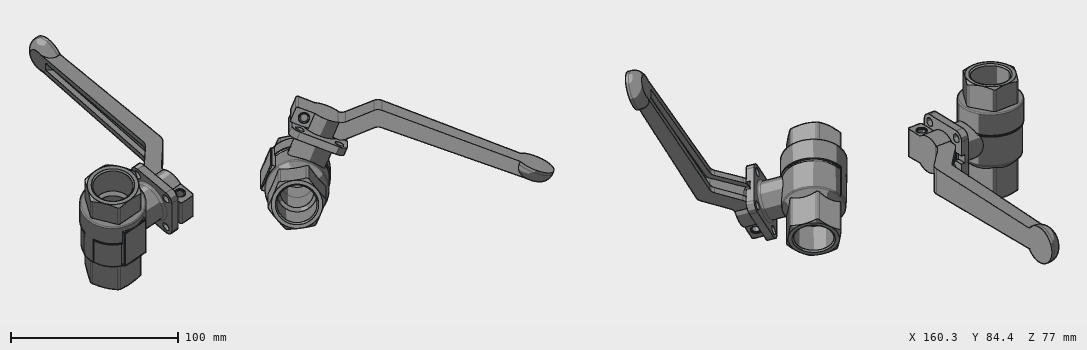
import cadquery as cq
import math


half_length = 38.5
hex_across_flats = 31.0
hex_sides = 6
hex_half_angle = 180 / hex_sides
hex_corner_rounding = 2.1
hex_end_radius = 15.4
hex_chamfer_angle = 30.0
body_radius = 19.2
body_bottom_z = -14.1
skirt_round = 1.3
lip_z = 6.7
collar_radius = 40.0 / 2
collar_bottom_z = 7.7
collar_top_z = 22.5
collar_round = 0.8
gap_radius = 18.8
skirt_end_radius = 14.5

bore_radius = 20.0 / 2
port_radius = 24.0 / 2
port_depth = 19.2
port_chamfer = 1.0

strap_width = 7.9
plate_width = 17.2
plate_face_x = 19.5
panel_height = 0.8
panel_margin = 0.5
plate_bottom_z = -12.2
plate_top_z = 18.1

neck_radius = 24.0 / 2
neck_fillet = 1.6
flange_half_width = 18.0
flange_corner_radius = 5.3
flange_back_y = 31.3
flange_face_y = 36.4
bolt_pitch = 25.5
bolt_hole_diameter = 5.5
notch_width = 5.6
notch_height = 2.5
notch_depth = flange_half_width - neck_radius

overall_depth = 84.4
lever_top_y = overall_depth - collar_radius
knob_x = -128.0
hub_radius = 24.0 / 2
hub_bottom_y = 35.5
clamp_height = 10.5
clamp_bottom_y = 37.4
clamp_top_y = clamp_bottom_y + clamp_height
clamp_end_x = 19.5
clamp_corner_radius = 1.3
taper_angle = 1.0
taper = math.tan(math.radians(taper_angle))
half_width_at_stem = 9.1
crank_angle = 45.0
crank_slope = math.tan(math.radians(crank_angle))
crank_top_x = -26.3
crank_under_x = -30.5
crank_under_y = 53.9
crank_outer_radius = 6.4
crank_inner_radius = 5.6
crank_foot_radius = 6.4

groove_wall = 4.0
groove_depth = 3.5
groove_start_x = -121.5
groove_ramp_length = 3.5

knob_radius = 12.0
knob_rim_height = 2.0
knob_round = 7.4

screw_x = 12.7
screw_y = clamp_bottom_y + clamp_height / 2
screw_hole_diameter = 5.0
screw_recess_diameter = 6.7
screw_recess_depth = 0.8


def box(x_range, y_range, z_range):
    """Block between the two ends of each range."""
    size = [high - low for low, high in (x_range, y_range, z_range)]
    start = (x_range[0], y_range[0], z_range[0])
    return cq.Workplane("XY").box(*size, centered=False).translate(start)


def hub_solid():
    """Lever hub around the stem axis; it also shapes the recess in the flange."""
    return (
        cq.Workplane("XZ", origin=(0, hub_bottom_y, 0))
        .circle(hub_radius)
        .extrude(hub_bottom_y - clamp_top_y)
    )


def hexagon_bar():
    """Hexagon over the full length, corners on Y, both ends chamfered conically."""
    corner_radius = hex_across_flats / 2 / math.cos(math.radians(hex_half_angle))
    bar = (
        cq.Workplane("XY", origin=(0, 0, -half_length))
        .polygon(hex_sides, 2 * corner_radius)
        .extrude(2 * half_length)
        .rotate((0, 0, 0), (0, 0, 1), hex_half_angle)
        .edges("|Z")
        .fillet(hex_corner_rounding)
    )
    drop = (corner_radius - hex_end_radius) * math.tan(math.radians(hex_chamfer_angle))
    end_cones = (
        cq.Workplane("XZ")
        .moveTo(0, -half_length)
        .lineTo(hex_end_radius, -half_length)
        .lineTo(corner_radius, drop - half_length)
        .lineTo(corner_radius, half_length - drop)
        .lineTo(hex_end_radius, half_length)
        .lineTo(0, half_length)
        .close()
        .revolve(360, (0, 0), (0, 1))
    )
    return bar.intersect(end_cones)


def chamber_blank(radius, top_z):
    """Round drum whose lower edge runs through a rounded corner into the 45 degree skirt."""
    bottom_z = body_bottom_z + radius - body_radius
    skirt_end_z = bottom_z - (radius - skirt_end_radius)
    return (
        cq.Workplane("XZ")
        .moveTo(0, skirt_end_z)
        .lineTo(skirt_end_radius, skirt_end_z)
        .lineTo(radius, bottom_z)
        .lineTo(radius, top_z)
        .lineTo(0, top_z)
        .close()
        .revolve(360, (0, 0), (0, 1))
        .edges("%CIRCLE")
        .edges(cq.NearestToPointSelector((0, 0, bottom_z)))
        .fillet(skirt_round)
    )


def round_body():
    """Ball chamber with its lip, the groove above the lip, and the collar."""
    lip_overhang = collar_radius - body_radius
    lip_and_collar = (
        cq.Workplane("XZ")
        .lineTo(body_radius, 0)
        .lineTo(body_radius, lip_z - lip_overhang)
        .radiusArc((collar_radius, lip_z), lip_overhang)
        .lineTo(gap_radius, lip_z)
        .lineTo(gap_radius, collar_bottom_z)
        .lineTo(collar_radius, collar_bottom_z)
        .lineTo(collar_radius, collar_top_z)
        .lineTo(0, collar_top_z)
        .close()
        .revolve(360, (0, 0), (0, 1))
        .faces(">Z")
        .edges()
        .fillet(collar_round)
    )
    return chamber_blank(body_radius, 0).union(lip_and_collar)


def strap():
    """Raised strap on the -Y side, level with the collar."""
    half_width = strap_width / 2
    strip = box((-half_width, half_width), (-collar_radius, 0), (-half_length, half_length))
    return chamber_blank(collar_radius, collar_bottom_z).intersect(strip)


def side_plate():
    """Plate on the +X side with a raised panel on its face."""
    half_width = plate_width / 2
    plate = box((0, plate_face_x), (-half_width, half_width), (plate_bottom_z, plate_top_z))
    panel = box(
        (0, plate_face_x + panel_height),
        (panel_margin - half_width, half_width - panel_margin),
        (plate_bottom_z + panel_margin, plate_top_z - panel_margin),
    )
    return plate.union(panel)


def neck_and_flange():
    """Round neck with a square flange, four bolt holes and a notch in the -X edge."""
    flange = (
        cq.Workplane("XZ", origin=(0, flange_back_y, 0))
        .rect(2 * flange_half_width, 2 * flange_half_width)
        .extrude(flange_back_y - flange_face_y)
        .edges("|Y")
        .fillet(flange_corner_radius)
    )
    holes = (
        cq.Workplane("XZ", origin=(0, flange_back_y, 0))
        .rect(bolt_pitch, bolt_pitch, forConstruction=True)
        .vertices()
        .circle(bolt_hole_diameter / 2)
        .extrude(flange_back_y - flange_face_y)
    )
    notch = box(
        (-flange_half_width, -flange_half_width + notch_depth),
        (flange_face_y - notch_height, flange_face_y),
        (-notch_width / 2, notch_width / 2),
    )
    fillet_start_y = flange_back_y - neck_fillet
    neck = (
        cq.Workplane("XY")
        .lineTo(neck_radius, 0)
        .lineTo(neck_radius, fillet_start_y)
        .radiusArc((neck_radius + neck_fillet, flange_back_y), neck_fillet)
        .lineTo(0, flange_back_y)
        .close()
        .revolve(360, (0, 0), (0, 1))
    )
    return flange.cut(holes).cut(notch).union(neck)


def pipe_bore():
    """Through bore with a wider, chamfered port at each end, joined by a cone."""
    port_floor = half_length - port_depth
    mouth_radius = port_radius + port_chamfer
    half_bore = (
        cq.Workplane("XZ")
        .lineTo(bore_radius, 0)
        .lineTo(bore_radius, port_floor - (port_radius - bore_radius))
        .lineTo(port_radius, port_floor)
        .lineTo(port_radius, half_length - port_chamfer)
        .lineTo(mouth_radius, half_length)
        .lineTo(0, half_length)
        .close()
        .revolve(360, (0, 0), (0, 1))
    )
    return half_bore.union(half_bore.mirror("XY"))


def make_valve_body():
    solid = hexagon_bar().union(round_body()).union(strap()).union(side_plate())
    solid = solid.union(neck_and_flange()).cut(hub_solid())
    return solid.cut(pipe_bore())


def underside_y(x):
    """Height of the sloping grip underside."""
    return crank_under_y - taper * (x - crank_under_x)


def side_half_width(x):
    """Half width of the tapered lever."""
    return half_width_at_stem + taper * x


def tapered_plan(start_x, end_x, inset):
    """Prism along Y over the lever's plan, with its sides moved inwards by inset."""
    start_width = side_half_width(start_x) - inset
    end_width = side_half_width(end_x) - inset
    corners = [(start_x, -start_width), (end_x, -end_width), (end_x, end_width), (start_x, start_width)]
    return cq.Workplane("XZ").polyline(corners).close().extrude(-lever_top_y)


def round_crank_edge(bar, x, y, radius):
    """Round the bar edge that runs along Z through the point (x, y)."""
    return bar.edges(cq.NearestToPointSelector((x, y, 0))).fillet(radius)


def lever_bar():
    """Grip, crank and clamp in one tapered bar."""
    crank_top_end_x = crank_top_x + (lever_top_y - clamp_top_y) / crank_slope
    crank_foot_x = crank_under_x + (crank_under_y - clamp_bottom_y) / crank_slope
    outline = [
        (knob_x, lever_top_y),
        (crank_top_x, lever_top_y),
        (crank_top_end_x, clamp_top_y),
        (clamp_end_x, clamp_top_y),
        (clamp_end_x, clamp_bottom_y),
        (crank_foot_x, clamp_bottom_y),
        (crank_under_x, crank_under_y),
        (knob_x, underside_y(knob_x)),
    ]
    width = 2 * side_half_width(clamp_end_x)
    bar = cq.Workplane("XY", origin=(0, 0, -width / 2)).polyline(outline).close().extrude(width)
    bar = round_crank_edge(bar, crank_top_x, lever_top_y, crank_outer_radius)
    bar = round_crank_edge(bar, crank_top_end_x, clamp_top_y, crank_inner_radius)
    bar = round_crank_edge(bar, crank_foot_x, clamp_bottom_y, crank_foot_radius)
    bar = round_crank_edge(bar, crank_under_x, crank_under_y, crank_inner_radius)
    bar = bar.edges("|Z and >X").fillet(clamp_corner_radius)
    return bar.intersect(tapered_plan(knob_x, clamp_end_x, 0))


def underside_groove():
    """Groove that follows the grip and the crank and ends at the hub."""
    bend_angle = crank_angle - taper_angle
    bend_shift = groove_depth * math.tan(math.radians(bend_angle / 2))
    floor_bend_x = crank_under_x + bend_shift
    floor_bend_y = underside_y(floor_bend_x) + groove_depth
    ramp_end_x = groove_start_x + groove_ramp_length
    outline = [
        (groove_start_x, underside_y(groove_start_x)),
        (ramp_end_x, underside_y(ramp_end_x) + groove_depth),
        (floor_bend_x, floor_bend_y),
        (0, floor_bend_y + floor_bend_x * crank_slope),
        (0, 0),
        (groove_start_x, 0),
    ]
    width = 2 * side_half_width(0)
    groove = cq.Workplane("XY", origin=(0, 0, -width / 2)).polyline(outline).close().extrude(width)
    groove = round_crank_edge(groove, floor_bend_x, floor_bend_y, crank_inner_radius)
    return groove.intersect(tapered_plan(groove_start_x, 0, groove_wall))


def knob():
    """Half-round knob, cut level with the grip underside."""
    rim_y = lever_top_y - knob_rim_height
    bottom_y = rim_y - knob_round
    button = (
        cq.Workplane("XY", origin=(knob_x, 0, 0))
        .moveTo(0, lever_top_y)
        .lineTo(knob_radius, lever_top_y)
        .lineTo(knob_radius, rim_y)
        .radiusArc((knob_radius - knob_round, bottom_y), knob_round)
        .lineTo(0, bottom_y)
        .close()
        .revolve(360, (0, 0), (0, 1))
    )
    left_x = knob_x - knob_radius
    right_x = knob_x + knob_radius
    above_underside = (
        cq.Workplane("XY", origin=(0, 0, -knob_radius))
        .moveTo(left_x, lever_top_y)
        .lineTo(right_x, lever_top_y)
        .lineTo(right_x, underside_y(right_x))
        .lineTo(left_x, underside_y(left_x))
        .close()
        .extrude(2 * knob_radius)
    )
    return button.intersect(above_underside)


def clamp_screw_hole():
    """Through hole along Z in the clamp, with a shallow recess on both sides."""
    outer_z = side_half_width(screw_x)
    axis = cq.Workplane("XY", origin=(screw_x, screw_y, -half_length))
    hole = axis.circle(screw_hole_diameter / 2).extrude(2 * half_length)
    recess = (
        cq.Workplane("XY", origin=(screw_x, screw_y, outer_z - screw_recess_depth))
        .circle(screw_recess_diameter / 2)
        .extrude(2 * screw_recess_depth)
    )
    return hole.union(recess).union(recess.mirror("XY"))


def make_lever():
    grip = lever_bar().union(knob()).cut(underside_groove())
    return grip.union(hub_solid()).cut(clamp_screw_hole())


valve_body = make_valve_body()
lever = make_lever()

result = cq.Compound.makeCompound([valve_body.val(), lever.val()])